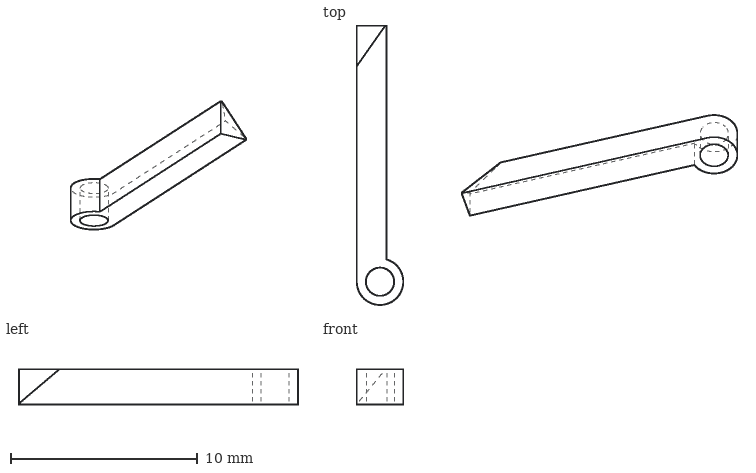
import cadquery as cq

eye_diameter = 2.5
hole_diameter = 1.5
thickness = 1.9

arm_width = 1.6
overall_length = 14.95
eye_radius = eye_diameter / 2
arm_length = overall_length - eye_radius
arm_left = -eye_radius

cut_along_x = 1.53
cut_along_y = 2.18
cut_along_z = 1.85


def make_eye():
    return cq.Workplane("XY").circle(eye_radius).extrude(thickness)


def make_arm():
    return (
        cq.Workplane("XY")
        .moveTo(arm_left, 0)
        .rect(arm_width, arm_length, centered=False)
        .extrude(thickness)
    )


def make_hole():
    return cq.Workplane("XY").circle(hole_diameter / 2).extrude(thickness)


def make_tip_cut():
    """Tetrahedron over the upper -X, +Y corner of the arm."""
    corner = cq.Vector(arm_left, arm_length, thickness)
    on_x_edge = corner + cq.Vector(cut_along_x, 0, 0)
    on_y_edge = corner - cq.Vector(0, cut_along_y, 0)
    on_z_edge = corner - cq.Vector(0, 0, cut_along_z)
    triangles = [
        (corner, on_x_edge, on_y_edge),
        (corner, on_y_edge, on_z_edge),
        (corner, on_z_edge, on_x_edge),
        (on_x_edge, on_y_edge, on_z_edge),
    ]
    faces = [cq.Face.makeFromWires(cq.Wire.makePolygon(list(t), close=True)) for t in triangles]
    return cq.Workplane(cq.Solid.makeSolid(cq.Shell.makeShell(faces)))


result = make_eye().union(make_arm()).cut(make_hole()).cut(make_tip_cut())